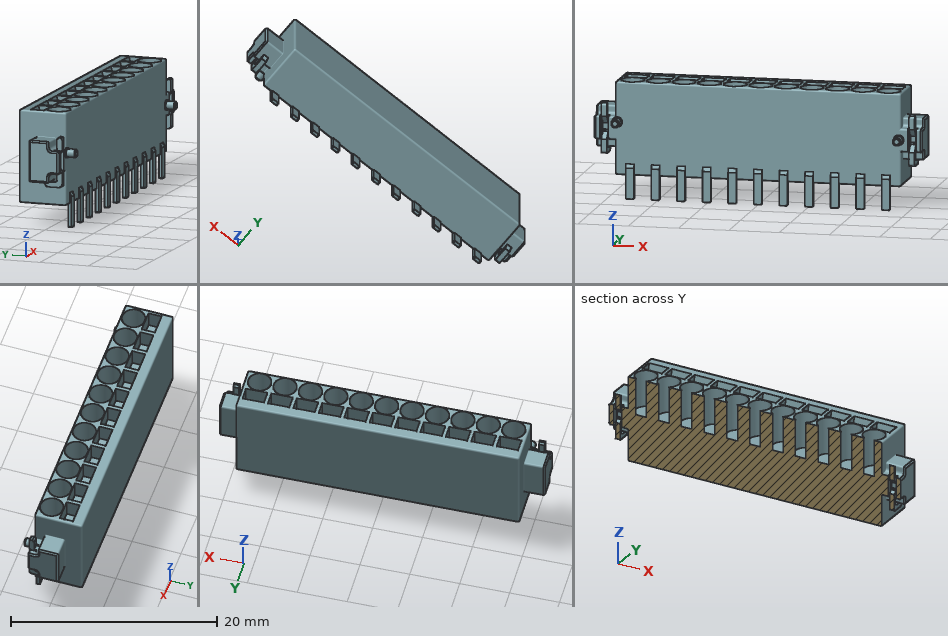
import cadquery as cq

TOTAL_LENGTH = 32.63
BODY_LENGTH = 28.4
BODY_DEPTH = 4.85
BODY_HEIGHT = 9.2
BODY_EDGE_RADIUS = 0.2

POLES = 11
PITCH = 2.55
POLE_X = [(i - (POLES - 1) / 2) * PITCH for i in range(POLES)]

ENTRY_DIAMETER = 2.3
ENTRY_Y = 1.27
ENTRY_FLAT_Y = 2.38
ENTRY_DEPTH = 3.9

SLOT_WIDTH = 2.15
SLOT_FRONT_Y = 2.45
SLOT_BACK_Y = 3.8
SLOT_FLOOR_BACK_Y = 3.33
SLOT_DEPTH = 1.75

PIN_WIDTH = 0.8
PIN_PROUD = 0.15
PIN_THICKNESS = 0.33
PIN_TOP_Z = 1.1
PIN_BEND_DROP = 0.4
PIN_BOTTOM_Z = -2.35
PIN_TIP_CHAMFER = 0.1

WING_LENGTH = (TOTAL_LENGTH - BODY_LENGTH) / 2
WING_Z = 4.6
WING_HEIGHT = 4.1
WING_BACK_Y = 3.1
WING_FRONT_Y = 1.05
WING_EDGE_RADIUS = 0.2
WING_END_CHAMFER = 0.15
WING_FOOT_RADIUS = 0.05
NECK_HEIGHT = 2.3
NECK_CORNER_RADIUS = 0.35
NECK_FRONT_RADIUS = 0.2

CLIP_X = 15.3
CLIP_WIDTH = 0.55
CLIP_PROUD = 0.1
CLIP_BACK_Y = 0.42
CLIP_TOP_Z = 7.0
CLIP_BOTTOM_Z = 2.05
CLIP_TOP_RADIUS = 0.25
CLIP_TOP_CHAMFER = 0.2
CLIP_BOTTOM_RADIUS = 0.33
CLIP_INNER_RADIUS = 0.33
CLIP_TOE_FRONT_Y = 1.5
CLIP_TOE_BACK_Y = 1.83
CLIP_LIP_DROP = 0.1
CLIP_WAIST_Y = 0.55
CLIP_WAIST_TOP_Z = 4.95
CLIP_WAIST_BOTTOM_Z = 4.15
CLIP_NOTCH_Y = 0.62
CLIP_NOTCH_HEIGHT = 0.2
CLIP_SLOT_WIDTH = 0.85
CLIP_SLOT_DEPTH = 0.65

PEG_DIAMETER = 0.8
PEG_LENGTH = 1.05
PEG_TIP_CHAMFER = 0.13
PEG_COLLAR_DIAMETER = 0.98
PEG_COLLAR_HEIGHT = 0.1
PEG_X = 14.0
LEFT_PEG_Z = 5.22
RIGHT_PEG_Z = 4.63

SELECTION_MARGIN = 0.003


def block(x0, x1, y0, y1, z0, z1):
    return cq.Workplane("XY").box(x1 - x0, y1 - y0, z1 - z0, centered=False).translate((x0, y0, z0))


def make_body():
    half = BODY_LENGTH / 2
    body = block(-half, half, 0, BODY_DEPTH, 0, BODY_HEIGHT)
    return body.edges().fillet(BODY_EDGE_RADIUS)


def make_wing():
    """Right-hand wing; its T-shaped side profile is extruded along X."""
    overlap = BODY_EDGE_RADIUS
    top = WING_Z + WING_HEIGHT / 2
    bottom = WING_Z - WING_HEIGHT / 2
    neck_top = WING_Z + NECK_HEIGHT / 2
    neck_bottom = WING_Z - NECK_HEIGHT / 2
    outline = [
        (0, neck_bottom),
        (WING_FRONT_Y, neck_bottom),
        (WING_FRONT_Y, bottom),
        (WING_BACK_Y, bottom),
        (WING_BACK_Y, top),
        (WING_FRONT_Y, top),
        (WING_FRONT_Y, neck_top),
        (0, neck_top),
    ]
    wing = cq.Workplane("YZ").polyline(outline).close().extrude(WING_LENGTH + overlap)
    for y, z, radius in (
        (0, neck_bottom, NECK_FRONT_RADIUS),
        (0, neck_top, NECK_FRONT_RADIUS),
        (WING_FRONT_Y, neck_bottom, NECK_CORNER_RADIUS),
        (WING_FRONT_Y, neck_top, NECK_CORNER_RADIUS),
        (WING_FRONT_Y, bottom, WING_EDGE_RADIUS),
        (WING_FRONT_Y, top, WING_EDGE_RADIUS),
        (WING_BACK_Y, bottom, WING_EDGE_RADIUS),
        (WING_BACK_Y, top, WING_EDGE_RADIUS),
    ):
        wing = wing.edges(cq.selectors.NearestToPointSelector((WING_LENGTH / 2, y, z))).fillet(radius)
    wing = wing.faces(">X").chamfer(WING_END_CHAMFER)
    wing = wing.translate((BODY_LENGTH / 2 - overlap, 0, 0))
    clip_slot = block(
        CLIP_X - CLIP_SLOT_WIDTH / 2,
        CLIP_X + CLIP_SLOT_WIDTH / 2,
        0,
        CLIP_SLOT_DEPTH,
        bottom,
        top,
    )
    return wing.cut(clip_slot)


def make_clip():
    """Right-hand clip; bent side profile with an upper tongue and a toe under the wing."""
    wing_bottom = WING_Z - WING_HEIGHT / 2
    neck_top = WING_Z + NECK_HEIGHT / 2
    neck_bottom = WING_Z - NECK_HEIGHT / 2
    notch_top = CLIP_WAIST_BOTTOM_Z + CLIP_NOTCH_HEIGHT
    profile = (
        cq.Workplane("YZ")
        .moveTo(-CLIP_PROUD, neck_top)
        .lineTo(-CLIP_PROUD, CLIP_TOP_Z - CLIP_TOP_RADIUS)
        .radiusArc((CLIP_TOP_RADIUS - CLIP_PROUD, CLIP_TOP_Z), CLIP_TOP_RADIUS)
        .lineTo(CLIP_BACK_Y - CLIP_TOP_CHAMFER, CLIP_TOP_Z)
        .lineTo(CLIP_BACK_Y, CLIP_TOP_Z - CLIP_TOP_CHAMFER)
        .lineTo(CLIP_BACK_Y, neck_top)
        .lineTo(CLIP_SLOT_DEPTH, neck_top)
        .lineTo(CLIP_SLOT_DEPTH, neck_bottom)
        .lineTo(CLIP_BACK_Y, neck_bottom)
        .lineTo(CLIP_BACK_Y, wing_bottom + CLIP_INNER_RADIUS)
        .radiusArc((CLIP_BACK_Y + CLIP_INNER_RADIUS, wing_bottom), -CLIP_INNER_RADIUS)
        .lineTo(CLIP_TOE_BACK_Y, wing_bottom)
        .lineTo(CLIP_TOE_FRONT_Y, CLIP_BOTTOM_Z)
        .lineTo(CLIP_BOTTOM_RADIUS - CLIP_PROUD, CLIP_BOTTOM_Z)
        .radiusArc((-CLIP_PROUD, CLIP_BOTTOM_Z + CLIP_BOTTOM_RADIUS), CLIP_BOTTOM_RADIUS)
        .lineTo(-CLIP_PROUD, neck_bottom)
        .lineTo(CLIP_WAIST_Y, CLIP_WAIST_BOTTOM_Z)
        .lineTo(CLIP_NOTCH_Y, CLIP_WAIST_BOTTOM_Z)
        .lineTo(CLIP_NOTCH_Y, notch_top)
        .lineTo(CLIP_WAIST_Y, notch_top)
        .lineTo(CLIP_WAIST_Y, CLIP_WAIST_TOP_Z)
        .lineTo(0, neck_top - CLIP_LIP_DROP)
        .close()
    )
    return profile.extrude(CLIP_WIDTH / 2, both=True).translate((CLIP_X, 0, 0))


def make_pin(x):
    back_y = PIN_THICKNESS - PIN_PROUD
    outline = [
        (back_y, PIN_BOTTOM_Z),
        (-PIN_PROUD, PIN_BOTTOM_Z),
        (-PIN_PROUD, PIN_TOP_Z - PIN_BEND_DROP),
        (0, PIN_TOP_Z),
        (back_y, PIN_TOP_Z),
    ]
    pin = cq.Workplane("YZ").polyline(outline).close().extrude(PIN_WIDTH / 2, both=True)
    return pin.faces("<Z").edges("|Y").chamfer(PIN_TIP_CHAMFER).translate((x, 0, 0))


def make_peg(x, z):
    root = BODY_EDGE_RADIUS
    peg = cq.Workplane("XZ", origin=(x, root, z)).circle(PEG_DIAMETER / 2).extrude(PEG_LENGTH + root)
    peg = peg.faces("<Y").chamfer(PEG_TIP_CHAMFER)
    collar = cq.Workplane("XZ", origin=(x, root, z)).circle(PEG_COLLAR_DIAMETER / 2)
    return peg.union(collar.extrude(PEG_COLLAR_HEIGHT + root))


def make_wire_entry(x):
    """Round hole with a flat on the side of the release slot."""
    floor_z = BODY_HEIGHT - ENTRY_DEPTH
    entry = cq.Workplane("XY", origin=(x, ENTRY_Y, floor_z))
    entry = entry.circle(ENTRY_DIAMETER / 2).extrude(ENTRY_DEPTH)
    reach = ENTRY_DIAMETER / 2
    beyond_flat = block(x - reach, x + reach, ENTRY_FLAT_Y, ENTRY_Y + reach, floor_z, BODY_HEIGHT)
    return entry.cut(beyond_flat)


def make_release_slot(x):
    """Rectangular pocket whose back wall slopes in towards the floor."""
    floor_z = BODY_HEIGHT - SLOT_DEPTH
    outline = [
        (SLOT_FRONT_Y, floor_z),
        (SLOT_FRONT_Y, BODY_HEIGHT),
        (SLOT_BACK_Y, BODY_HEIGHT),
        (SLOT_FLOOR_BACK_Y, floor_z),
    ]
    slot = cq.Workplane("YZ").polyline(outline).close().extrude(SLOT_WIDTH / 2, both=True)
    return slot.translate((x, 0, 0))


def add_wings(body):
    """Join both wings and blend their foot into the body ends, away from the front edges."""
    wing = make_wing()
    body = body.union(wing).union(wing.mirror("YZ"))
    body_end = BODY_LENGTH / 2
    for x in (-body_end, body_end):
        foot = cq.selectors.BoxSelector(
            (x - SELECTION_MARGIN, NECK_FRONT_RADIUS, WING_Z - WING_HEIGHT),
            (x + SELECTION_MARGIN, WING_BACK_Y + SELECTION_MARGIN, WING_Z + WING_HEIGHT),
        )
        body = body.edges(foot).fillet(WING_FOOT_RADIUS)
    return body


result = add_wings(make_body())
for pole_x in POLE_X:
    result = result.cut(make_wire_entry(pole_x)).cut(make_release_slot(pole_x))
    result = result.union(make_pin(pole_x))

clip = make_clip()
result = result.union(clip).union(clip.mirror("YZ"))

result = result.union(make_peg(-PEG_X, LEFT_PEG_Z)).union(make_peg(PEG_X, RIGHT_PEG_Z))